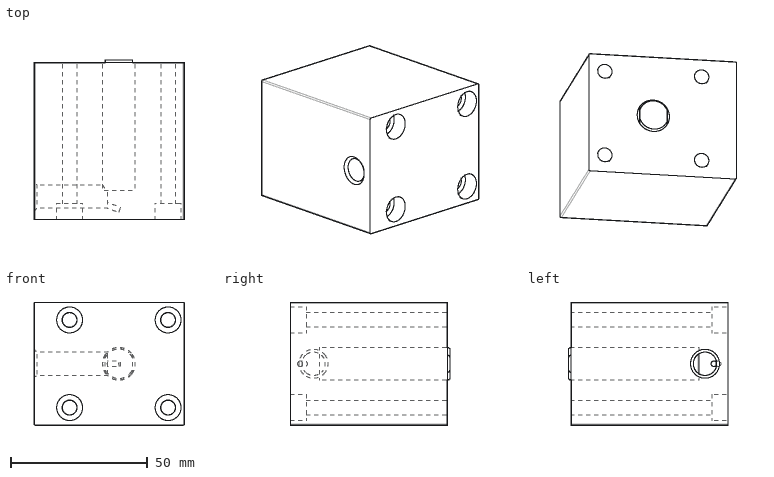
import cadquery as cq
import math

BLOCK_WIDTH = 55.0
BLOCK_HEIGHT = 45.0
OVERALL_LENGTH = 58.5
ROD_PROTRUSION = 1.0
BLOCK_LENGTH = OVERALL_LENGTH - ROD_PROTRUSION
EDGE_RADIUS = 0.5

AXIS_X = 31.0

BOLT_SPACING_X = 36.05
BOLT_SPACING_Z = 32.05
BOLT_DIAMETER = 5.3
COUNTERBORE_DIAMETER = 9.5
COUNTERBORE_DEPTH = 5.85

ROD_DIAMETER = 12.0
ROD_FRONT_Y = 10.65
LEAD_IN_LENGTH = 0.45
LEAD_IN_ANGLE = 10.0
TIP_TAPER = 0.6
TIP_ARC_RADIUS = 1.3
FLAT_SPACING = 10.1

PORT_Y = 8.5
PORT_DIAMETER = 8.55
PORT_MOUTH_DIAMETER = 10.6
PORT_DEPTH = 26.9
OIL_HOLE_DIAMETER = 2.0
OIL_HOLE_Y = 5.2
OIL_HOLE_ANGLE = 20.0
OIL_HOLE_LENGTH = 4.7


def make_rod():
    radius = ROD_DIAMETER / 2
    front_radius = radius - LEAD_IN_LENGTH * math.tan(math.radians(LEAD_IN_ANGLE))
    rod = (
        cq.Workplane("XY")
        .moveTo(0, ROD_FRONT_Y)
        .lineTo(front_radius, ROD_FRONT_Y)
        .lineTo(radius, ROD_FRONT_Y + LEAD_IN_LENGTH)
        .lineTo(radius, BLOCK_LENGTH)
        .radiusArc((radius - TIP_TAPER, OVERALL_LENGTH), -TIP_ARC_RADIUS)
        .lineTo(0, OVERALL_LENGTH)
        .close()
        .revolve(360, (0, 0), (0, 1))
    )
    tip = cq.Workplane("XY").box(ROD_DIAMETER, ROD_PROTRUSION, ROD_DIAMETER)
    core = cq.Workplane("XY").box(FLAT_SPACING, ROD_PROTRUSION, ROD_DIAMETER)
    beside_flats = tip.cut(core).translate((0, BLOCK_LENGTH + ROD_PROTRUSION / 2, 0))
    return rod.cut(beside_flats).translate((AXIS_X, 0, 0))


def make_rod_bore():
    """Cutting shape of the plain bore, from the rod's front end out through the back face."""
    bore = cq.Workplane("XZ", origin=(AXIS_X, ROD_FRONT_Y, 0)).circle(ROD_DIAMETER / 2)
    return bore.extrude(-(BLOCK_LENGTH - ROD_FRONT_Y))


def make_port():
    """Cutting shape of the side port, entering along +X."""
    radius = PORT_DIAMETER / 2
    mouth_radius = PORT_MOUTH_DIAMETER / 2
    countersink_depth = mouth_radius - radius
    profile = [
        (0, 0),
        (0, mouth_radius),
        (countersink_depth, radius),
        (PORT_DEPTH, radius),
        (PORT_DEPTH, 0),
    ]
    port = cq.Workplane("XY").polyline(profile).close().revolve(360, (0, 0), (1, 0))
    return port.translate((0, PORT_Y, 0))


def make_oil_hole():
    """Cutting shape of the oil hole, slanted from the port floor towards the front."""
    angle = math.radians(OIL_HOLE_ANGLE)
    direction = cq.Vector(math.cos(angle), -math.sin(angle), 0)
    mouth = cq.Vector(PORT_DEPTH, OIL_HOLE_Y, 0)
    start = mouth - direction * OIL_HOLE_DIAMETER
    length = OIL_HOLE_LENGTH + OIL_HOLE_DIAMETER
    return cq.Workplane(cq.Solid.makeCylinder(OIL_HOLE_DIAMETER / 2, length, start, direction))


def make_block():
    block = cq.Workplane("XY").box(BLOCK_WIDTH, BLOCK_LENGTH, BLOCK_HEIGHT)
    block = block.translate((BLOCK_WIDTH / 2, BLOCK_LENGTH / 2, 0))
    block = block.edges("|Y").fillet(EDGE_RADIUS)

    for side_x in (-1, 1):
        for side_z in (-1, 1):
            x = AXIS_X + side_x * BOLT_SPACING_X / 2
            z = side_z * BOLT_SPACING_Z / 2
            for diameter, depth in (
                (BOLT_DIAMETER, BLOCK_LENGTH),
                (COUNTERBORE_DIAMETER, COUNTERBORE_DEPTH),
            ):
                hole = cq.Workplane("XZ", origin=(x, 0, z)).circle(diameter / 2).extrude(-depth)
                block = block.cut(hole)

    return block.cut(make_rod_bore()).cut(make_port()).cut(make_oil_hole())


block = make_block()
rod = make_rod()

result = cq.Compound.makeCompound([block.val(), rod.val()])